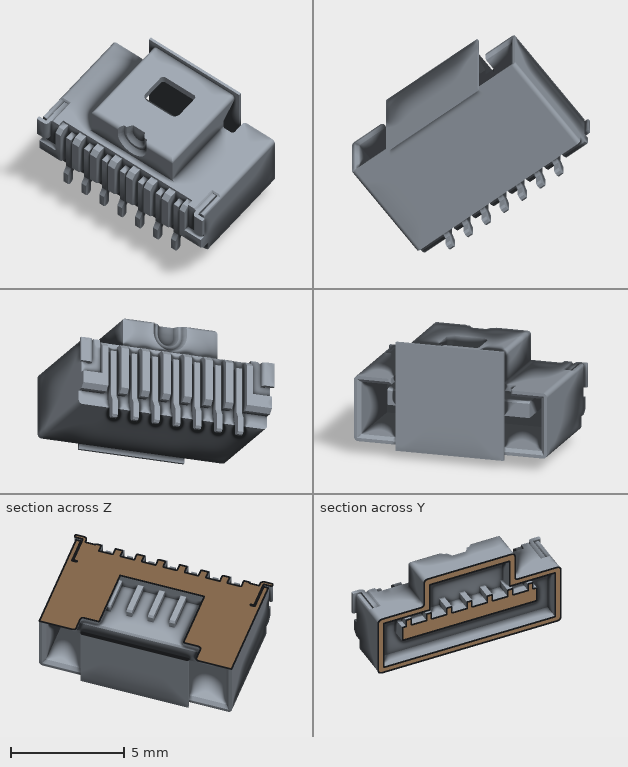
import cadquery as cq
import math


HOUSING_WIDTH = 9.0
HOUSING_BOTTOM = 0.59
HOUSING_TOP = 3.59
FRONT_WALL = 0.59
REAR = 5.415
EDGE_RADIUS = 0.19
WALL = 0.3

TOWER_WIDTH = 4.5
TOWER_TOP = 5.07
TOWER_FRONT = 0.91
TOWER_BASE_RADIUS = 0.11
TOWER_ROOF = 0.38

CAVITY_FRONT = 1.7
LEAD_IN = 0.15

RELIEF_FRONT = 4.6
RELIEF_SLOPE_BOTTOM = 4.06
RELIEF_SLOPE_TOP = 4.805
RELIEF_WIDTH = 5.59
RELIEF_RADIUS = 0.13

WINDOW_WIDTH = 1.89
WINDOW_FRONT = 2.85
WINDOW_REAR = 4.36
WINDOW_FRONT_RADIUS = 0.3
WINDOW_REAR_RADIUS = 0.15

RECESS_AXIS_Z = 4.58
RECESS_STEP_DEPTH = 0.25
RECESS_OUTER_RADII = (0.795, 0.64)
RECESS_INNER_RADII = (0.5, 0.33)

PIN_COUNT = 7
PITCH = 1.0
PIN_WIDTH = 0.26
PIN_TOP = 3.14
PIN_BLADE_THICKNESS = 0.35
PIN_LEG_FRONT = 0.19
PIN_FOOT_THICKNESS = 0.35
PIN_FOOT_CHAMFER = 0.1
PIN_BEND_FRONT_Z = (0.78, 1.06)
PIN_BEND_BACK_Z = (0.66, 0.96)
PIN_END = 3.31
PIN_TIP_CHAMFER = 0.08

RIB_WIDTH = 0.36
RIB_FRONT = 0.04
RIB_BOTTOM = 1.21
RIB_TOP = 3.47
RIB_CHAMFER_Y = 0.22
RIB_CHAMFER_Z = 0.2
CHEEK_INNER_X = 3.59
CHEEK_FRONT = 0.29
CHEEK_LEDGE = 1.97

TONGUE_END = 4.3
TONGUE_THICKNESS = 0.74
TONGUE_CHAMFER = 0.08

NAIL_THICKNESS = 0.18
NAIL_TIP_X = 4.62
NAIL_INNER_X = 4.05
NAIL_END = 1.49
NAIL_BOTTOM = 2.42
NAIL_TOP = 3.52
NAIL_BEND_RADIUS = 0.18
NAIL_TIP_RADIUS = 0.05
NAIL_GAP = 0.04
NAIL_GAP_LEAD_IN = 0.06
NAIL_POCKET_INNER_X = 3.94
NAIL_POCKET_END = 1.58

PLATE_WIDTH = 5.03
PLATE_HEIGHT = 5.0
PLATE_THICKNESS = 0.13
PLATE_BOTTOM = 0.35

HALF_HOUSING = HOUSING_WIDTH / 2
HALF_TOWER = TOWER_WIDTH / 2
HALF_PIN_ROW = (PIN_COUNT - 1) / 2 * PITCH
CORNER_BLOCK_INNER_X = HALF_PIN_ROW + (PITCH - RIB_WIDTH) / 2
TONGUE_TOP = PIN_TOP - PIN_BLADE_THICKNESS


def box(x0, x1, y0, y1, z0, z1):
    return cq.Workplane("XY").box(x1 - x0, y1 - y0, z1 - z0, centered=False).translate((x0, y0, z0))


def rectangle_corners(x0, x1, y0, y1):
    return [(x0, y0), (x1, y0), (x1, y1), (x0, y1)]


def side_profile(points, x0, x1):
    """Extrudes a closed outline of (y, z) points from x0 to x1."""
    return cq.Workplane("YZ", origin=(x0, 0, 0)).polyline(points).close().extrude(x1 - x0)


def both_sides(shape):
    """The +X shape together with its mirror image."""
    return shape.union(shape.mirror("YZ"))


def shell():
    body = box(-HALF_HOUSING, HALF_HOUSING, FRONT_WALL, REAR, HOUSING_BOTTOM, HOUSING_TOP)
    return body.edges("|Y").fillet(EDGE_RADIUS)


def tower():
    block = box(-HALF_TOWER, HALF_TOWER, TOWER_FRONT, REAR, HOUSING_TOP - WALL, TOWER_TOP)
    block = block.faces(">Z").edges("|Y or <Y").fillet(EDGE_RADIUS)
    root_x = HALF_TOWER + TOWER_BASE_RADIUS
    root_z = HOUSING_TOP + TOWER_BASE_RADIUS
    arc_offset = TOWER_BASE_RADIUS * (1 - math.sqrt(0.5))
    root = (
        cq.Workplane("XZ", origin=(0, TOWER_FRONT, 0))
        .moveTo(HALF_TOWER, HOUSING_TOP)
        .lineTo(root_x, HOUSING_TOP)
        .threePointArc((HALF_TOWER + arc_offset, HOUSING_TOP + arc_offset), (HALF_TOWER, root_z))
        .close()
        .extrude(TOWER_FRONT - REAR)
    )
    return block.union(both_sides(root))


def flared_opening(half_width, bottom, top):
    """Box-shaped cavity that widens at 45 degrees where it meets the rear face."""
    width = 2 * half_width
    height = top - bottom
    mouth = REAR - LEAD_IN
    flare = (
        cq.Workplane("XZ", origin=(0, REAR, (bottom + top) / 2))
        .rect(width + 2 * LEAD_IN, height + 2 * LEAD_IN)
        .extrude(LEAD_IN, taper=45)
    )
    return box(-half_width, half_width, CAVITY_FRONT, mouth, bottom, top).union(flare)


def cavity():
    main = flared_opening(HALF_HOUSING - WALL, HOUSING_BOTTOM + WALL, HOUSING_TOP - WALL)
    upper = flared_opening(HALF_TOWER - WALL, HOUSING_BOTTOM + WALL, TOWER_TOP - TOWER_ROOF)
    return main.union(upper)


def tower_relief():
    """Sloped notch through both tower sides and the rounded cut below it in the housing top."""
    notch = side_profile(
        [
            (RELIEF_FRONT, HOUSING_TOP),
            (RELIEF_FRONT, RELIEF_SLOPE_BOTTOM),
            (REAR, RELIEF_SLOPE_TOP),
            (REAR, HOUSING_TOP),
        ],
        HALF_TOWER - WALL,
        HALF_TOWER + TOWER_BASE_RADIUS,
    )
    half = RELIEF_WIDTH / 2
    inner_x = HALF_TOWER - WALL
    bend = RELIEF_RADIUS * (1 - math.sqrt(0.5))
    floor_cut = (
        cq.Workplane("XY", origin=(0, 0, HOUSING_TOP - WALL))
        .moveTo(inner_x, RELIEF_FRONT)
        .lineTo(half - RELIEF_RADIUS, RELIEF_FRONT)
        .threePointArc((half - bend, RELIEF_FRONT + bend), (half, RELIEF_FRONT + RELIEF_RADIUS))
        .lineTo(half, REAR - RELIEF_RADIUS)
        .threePointArc((half + bend, REAR - bend), (half + RELIEF_RADIUS, REAR))
        .lineTo(inner_x, REAR)
        .close()
        .extrude(WALL)
    )
    return both_sides(notch.union(floor_cut))


def window():
    cut = box(
        -WINDOW_WIDTH / 2, WINDOW_WIDTH / 2, WINDOW_FRONT, WINDOW_REAR, TOWER_TOP - TOWER_ROOF, TOWER_TOP
    )
    cut = cut.edges("|Z and <Y").fillet(WINDOW_FRONT_RADIUS)
    return cut.edges("|Z and >Y").fillet(WINDOW_REAR_RADIUS)


def recess_stage(radii, front):
    """One tapered U, round below the recess axis and straight-sided above it."""
    front_radius, back_radius = radii
    back = front + RECESS_STEP_DEPTH
    cone = cq.Solid.makeCone(
        front_radius, back_radius, RECESS_STEP_DEPTH, cq.Vector(0, front, RECESS_AXIS_Z), cq.Vector(0, 1, 0)
    )
    channel = (
        cq.Workplane("XY", origin=(0, 0, RECESS_AXIS_Z))
        .polyline([(-front_radius, front), (front_radius, front), (back_radius, back), (-back_radius, back)])
        .close()
        .extrude(TOWER_TOP - RECESS_AXIS_Z)
    )
    return channel.union(cq.Workplane(cone))


def tower_recess():
    outer = recess_stage(RECESS_OUTER_RADII, TOWER_FRONT)
    inner = recess_stage(RECESS_INNER_RADII, TOWER_FRONT + RECESS_STEP_DEPTH)
    return outer.union(inner)


def rib(x0, x1):
    """Upright rib with its two front edges chamfered."""
    slope_back = RIB_FRONT + RIB_CHAMFER_Y
    return side_profile(
        [
            (FRONT_WALL, RIB_BOTTOM),
            (slope_back, RIB_BOTTOM),
            (RIB_FRONT, RIB_BOTTOM + RIB_CHAMFER_Z),
            (RIB_FRONT, RIB_TOP - RIB_CHAMFER_Z),
            (slope_back, RIB_TOP),
            (FRONT_WALL, RIB_TOP),
        ],
        x0,
        x1,
    )


def corner_block():
    """Wide rib beside the end pin, cut back above a ledge, with a cheek up to the housing top."""
    block = rib(CORNER_BLOCK_INNER_X, HALF_HOUSING)
    block = block.cut(box(CHEEK_INNER_X, HALF_HOUSING, 0, FRONT_WALL, CHEEK_LEDGE, RIB_TOP))
    cheek = box(CHEEK_INNER_X, HALF_HOUSING, CHEEK_FRONT, FRONT_WALL, CHEEK_LEDGE, HOUSING_TOP)
    cheek = cheek.edges("|Y and >X and >Z").fillet(EDGE_RADIUS)
    return block.union(cheek)


def tongue():
    profile = [
        (CAVITY_FRONT, TONGUE_TOP - TONGUE_THICKNESS),
        (TONGUE_END, TONGUE_TOP - TONGUE_THICKNESS),
        (TONGUE_END, TONGUE_TOP - TONGUE_CHAMFER),
        (TONGUE_END - TONGUE_CHAMFER, TONGUE_TOP),
        (CAVITY_FRONT, TONGUE_TOP),
    ]
    return side_profile(profile, -CORNER_BLOCK_INNER_X, CORNER_BLOCK_INNER_X)


def pin(x):
    """Bent contact: blade in the cavity, leg down the front wall, foot stepped forward."""
    front_bend_bottom, front_bend_top = PIN_BEND_FRONT_Z
    back_bend_bottom, back_bend_top = PIN_BEND_BACK_Z
    profile = [
        (PIN_LEG_FRONT, PIN_TOP),
        (PIN_END - PIN_TIP_CHAMFER, PIN_TOP),
        (PIN_END, PIN_TOP - PIN_TIP_CHAMFER),
        (PIN_END, TONGUE_TOP),
        (FRONT_WALL, TONGUE_TOP),
        (FRONT_WALL, back_bend_top),
        (PIN_FOOT_THICKNESS, back_bend_bottom),
        (PIN_FOOT_THICKNESS, PIN_FOOT_CHAMFER),
        (PIN_FOOT_THICKNESS - PIN_FOOT_CHAMFER, 0),
        (PIN_FOOT_CHAMFER, 0),
        (0, PIN_FOOT_CHAMFER),
        (0, front_bend_bottom),
        (PIN_LEG_FRONT, front_bend_top),
    ]
    return side_profile(profile, x - PIN_WIDTH / 2, x + PIN_WIDTH / 2)


def nail_pocket():
    """Lipped slot for the nail leg, below a shallow recess with sloped inner and rear sides."""
    drop = HOUSING_TOP - NAIL_TOP
    floor_inner_x = NAIL_POCKET_INNER_X + drop
    floor_end = NAIL_POCKET_END - drop
    recess = (
        cq.Workplane("XY", origin=(0, 0, NAIL_TOP))
        .polyline(rectangle_corners(floor_inner_x, HALF_HOUSING, CHEEK_FRONT, floor_end))
        .close()
        .workplane(offset=drop)
        .polyline(rectangle_corners(NAIL_POCKET_INNER_X, HALF_HOUSING, CHEEK_FRONT, NAIL_POCKET_END))
        .close()
        .loft(ruled=True)
    )
    gap_outer_x = NAIL_INNER_X + NAIL_THICKNESS + NAIL_GAP
    slot = (
        cq.Workplane("XZ", origin=(0, CHEEK_FRONT, 0))
        .polyline([
            (NAIL_INNER_X, NAIL_BOTTOM),
            (gap_outer_x, NAIL_BOTTOM),
            (gap_outer_x, NAIL_TOP - NAIL_GAP_LEAD_IN),
            (gap_outer_x + NAIL_GAP_LEAD_IN, NAIL_TOP),
            (NAIL_INNER_X, NAIL_TOP),
        ])
        .close()
        .extrude(CHEEK_FRONT - NAIL_END - NAIL_GAP)
    )
    return recess.union(slot)


def nail():
    """L-shaped nail: a leg in the pocket and a foot bent outwards in front."""
    leg = box(NAIL_INNER_X, NAIL_INNER_X + NAIL_THICKNESS, 0, NAIL_END, NAIL_BOTTOM, NAIL_TOP)
    foot = box(NAIL_INNER_X, NAIL_TIP_X, 0, NAIL_THICKNESS, NAIL_BOTTOM, NAIL_TOP)
    foot = foot.edges("|Z and >X").fillet(NAIL_TIP_RADIUS)
    return leg.union(foot).edges("|Z and <X and <Y").fillet(NAIL_BEND_RADIUS)


def connector():
    body = shell().union(tower()).cut(cavity()).cut(tower_relief()).cut(window()).cut(tower_recess())
    body = body.union(both_sides(corner_block()))
    body = body.cut(both_sides(nail_pocket())).union(both_sides(nail()))
    body = body.union(tongue())
    for i in range(PIN_COUNT):
        body = body.union(pin(i * PITCH - HALF_PIN_ROW))
    for i in range(PIN_COUNT - 1):
        rib_x = (i + 0.5) * PITCH - HALF_PIN_ROW
        body = body.union(rib(rib_x - RIB_WIDTH / 2, rib_x + RIB_WIDTH / 2))
    return body


def cover_plate():
    half = PLATE_WIDTH / 2
    return box(-half, half, REAR, REAR + PLATE_THICKNESS, PLATE_BOTTOM, PLATE_BOTTOM + PLATE_HEIGHT)


result = cq.Compound.makeCompound([connector().val(), cover_plate().val()])